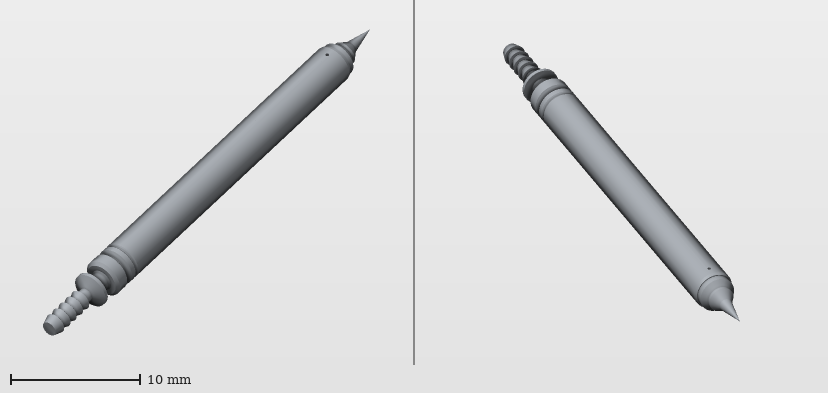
import cadquery as cq

LENGTH = 41.0
BODY_RADIUS = 1.6

STEM_RADIUS = 0.57
BARB_RADIUS = 0.85
BARB_SMALL_RADIUS = 0.6
BARB_COUNT = 5
BARB_LENGTH = 0.6
LAST_BARB_TOP = 0.78
FIRST_BARB_TOP = 3.98
BARB_PITCH = (FIRST_BARB_TOP - LAST_BARB_TOP) / (BARB_COUNT - 1)

CONE_START = 4.7
FLANGE_START = 5.25
FLANGE_END = 5.55
FLANGE_RADIUS = 1.48
NECK_RADIUS = 0.78
NECK_ROOT_FLARE = 0.12

BODY_START = 6.7
BODY_CHAMFER = 0.25
DEEP_GROOVE_CENTRE = 8.15
DEEP_GROOVE_DEPTH = 0.33
DEEP_GROOVE_WIDTH = 0.6
DEEP_GROOVE_FLOOR = 0.15
SHALLOW_GROOVE_CENTRE = 9.1
SHALLOW_GROOVE_DEPTH = 0.12
SHALLOW_GROOVE_WIDTH = 0.35
SHALLOW_GROOVE_FLOOR = 0.12

BODY_END = 36.25
COLLAR_START = 36.5
COLLAR_END = 37.0
COLLAR_RADIUS = 1.45
COLLAR_STEP_RADIUS = 1.5
BAND_START = 37.47
BAND_END = 37.7
BAND_RADIUS = 1.02
TIP_START = 38.5
TIP_BASE_RADIUS = 0.55

HOLE_POSITION = 35.55
HOLE_DIAMETER = 0.3
HOLE_DEPTH = 0.25


def barb_points(top, bottom):
    """Square shoulder at the top, tapering down to the bottom."""
    return [
        (STEM_RADIUS, bottom),
        (BARB_SMALL_RADIUS, bottom),
        (BARB_RADIUS, top),
        (STEM_RADIUS, top),
    ]


def tail_points():
    last_barb = barb_points(LAST_BARB_TOP, 0)
    points = last_barb[1:]
    for index in range(1, BARB_COUNT):
        top = LAST_BARB_TOP + index * BARB_PITCH
        points += barb_points(top, top - BARB_LENGTH)
    return points


def flange_points():
    return [
        (STEM_RADIUS, CONE_START),
        (FLANGE_RADIUS, FLANGE_START),
        (FLANGE_RADIUS, FLANGE_END),
        (NECK_RADIUS, FLANGE_END),
        (NECK_RADIUS, BODY_START - NECK_ROOT_FLARE),
        (NECK_RADIUS + NECK_ROOT_FLARE, BODY_START),
    ]


def groove_points(centre, depth, width, floor):
    """Groove with sloping walls and a flat floor."""
    return [
        (BODY_RADIUS, centre - width / 2),
        (BODY_RADIUS - depth, centre - floor / 2),
        (BODY_RADIUS - depth, centre + floor / 2),
        (BODY_RADIUS, centre + width / 2),
    ]


def body_points():
    points = [
        (BODY_RADIUS - BODY_CHAMFER, BODY_START),
        (BODY_RADIUS, BODY_START + BODY_CHAMFER),
    ]
    points += groove_points(DEEP_GROOVE_CENTRE, DEEP_GROOVE_DEPTH, DEEP_GROOVE_WIDTH, DEEP_GROOVE_FLOOR)
    points += groove_points(
        SHALLOW_GROOVE_CENTRE, SHALLOW_GROOVE_DEPTH, SHALLOW_GROOVE_WIDTH, SHALLOW_GROOVE_FLOOR
    )
    points.append((BODY_RADIUS, BODY_END))
    return points


def nose_points():
    return [
        (COLLAR_STEP_RADIUS, COLLAR_START),
        (COLLAR_RADIUS, COLLAR_START),
        (COLLAR_RADIUS, COLLAR_END),
        (BAND_RADIUS, BAND_START),
        (BAND_RADIUS, BAND_END),
        (TIP_BASE_RADIUS, TIP_START),
    ]


outline = [(0, 0)] + tail_points() + flange_points() + body_points() + nose_points() + [(0, LENGTH)]
stylus = cq.Workplane("XY").polyline(outline).close().revolve(360, (0, 0, 0), (0, 1, 0))

hole = (
    cq.Workplane("XY", origin=(0, HOLE_POSITION, BODY_RADIUS - HOLE_DEPTH))
    .circle(HOLE_DIAMETER / 2)
    .extrude(2 * HOLE_DEPTH)
)

result = stylus.cut(hole)